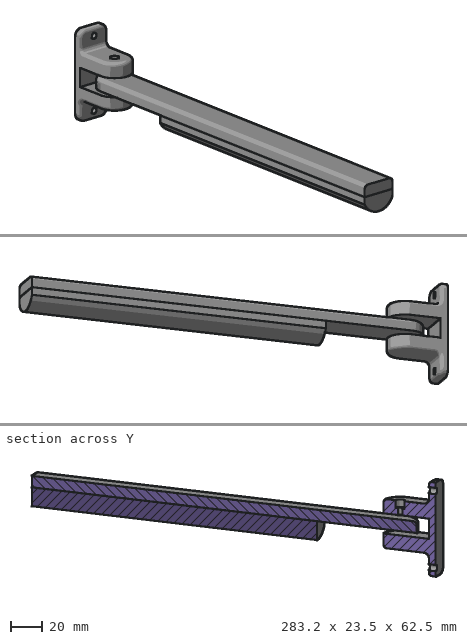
import cadquery as cq

total_length = 283.2
width = 23.5

plate_height = 62.5
plate_thickness = 5.0
plate_corner_radius = 5.0
screw_hole_diameter = 4.0
screw_hole_offset = 25.5

lug_tip_x = 36.8
lug_gap = 13.0
lug_thickness = 10.0
lug_root_fillet = 3.0
bracket_edge_round = 2.5
pin_hole_diameter = 2.8
counterbore_diameter = 6.0
counterbore_depth = 5.0

arm_thickness = 8.0
arm_edge_round = 2.8

bar_length = 200.0
bar_side_height = 5.0

half_width = width / 2
pivot_x = lug_tip_x - half_width
lug_outer_z = lug_gap / 2 + lug_thickness
arm_underside_z = -arm_thickness / 2


def tongue(square_end_x, round_tip_x, thickness):
    """Flat strip centred on Z = 0, with one square end and one half-round end about the pivot axis."""
    return (
        cq.Workplane("XY", origin=(0, 0, -thickness / 2))
        .moveTo(square_end_x, -half_width)
        .lineTo(pivot_x, -half_width)
        .threePointArc((round_tip_x, 0), (pivot_x, half_width))
        .lineTo(square_end_x, half_width)
        .close()
        .extrude(thickness)
    )


def make_bracket_blank():
    """Wall plate joined to one thick lug block, with all its roundings."""
    plate = (
        cq.Workplane("YZ")
        .rect(width, plate_height)
        .extrude(plate_thickness)
        .edges("|X")
        .fillet(plate_corner_radius)
    )
    blank = plate.union(tongue(0, lug_tip_x, 2 * lug_outer_z))

    around_lug_block = cq.selectors.BoxSelector(
        (0, -width, -lug_outer_z - lug_root_fillet),
        (lug_tip_x, width, lug_outer_z + lug_root_fillet),
    )
    blank = blank.edges("|Y").edges(around_lug_block).fillet(lug_root_fillet)

    return blank.edges("%CIRCLE").edges(">X").fillet(bracket_edge_round)


def make_bracket():
    """Bracket with a fork slot for the arm, two screw holes and a counterbored pin hole."""
    fork_slot = (
        cq.Workplane("XY", origin=(plate_thickness, 0, 0))
        .box(lug_tip_x, width, lug_gap, centered=(False, True, True))
    )
    screw_holes = (
        cq.Workplane("YZ")
        .pushPoints([(0, -screw_hole_offset), (0, screw_hole_offset)])
        .circle(screw_hole_diameter / 2)
        .extrude(plate_thickness)
    )
    upper_lug_top = cq.Workplane("XY", origin=(pivot_x, 0, lug_outer_z))
    return (
        make_bracket_blank()
        .cut(fork_slot)
        .cut(screw_holes)
        .copyWorkplane(upper_lug_top)
        .cboreHole(pin_hole_diameter, counterbore_diameter, counterbore_depth, lug_thickness)
    )


def make_arm():
    """Long arm whose half-round end sits between the lugs, rounded along its upper edges."""
    arm = tongue(total_length, pivot_x - half_width, arm_thickness)
    return arm.faces(">Z").edges("%CIRCLE").fillet(arm_edge_round)


def make_bar():
    """Bar under the arm: upright sides and a bottom bowed in one arc across the full width."""
    bow_start_z = arm_underside_z - bar_side_height
    return (
        cq.Workplane("YZ", origin=(total_length - bar_length, 0, 0))
        .moveTo(-half_width, arm_underside_z)
        .lineTo(-half_width, bow_start_z)
        .threePointArc((0, -lug_outer_z), (half_width, bow_start_z))
        .lineTo(half_width, arm_underside_z)
        .close()
        .extrude(bar_length)
    )


bracket = make_bracket()
arm = make_arm()
bar = make_bar()

result = cq.Compound.makeCompound([bracket.val(), arm.val(), bar.val()])